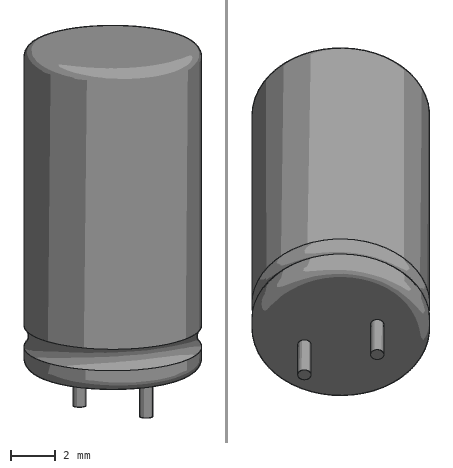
import cadquery as cq

can_diameter = 8.0
can_height = 15.0
rim_radius = 0.5

groove_bottom = 1.0
groove_top = 2.0
groove_depth = 0.2

lead_diameter = 0.6
lead_spacing = 3.5
lead_length = 2.0


def make_can():
    """Revolve the half section of the can, with rounded rims and a crimp groove."""
    radius = can_diameter / 2
    groove_middle = (groove_bottom + groove_top) / 2
    half_section = (
        cq.Workplane("XZ")
        .lineTo(radius - rim_radius, 0)
        .radiusArc((radius, rim_radius), -rim_radius)
        .lineTo(radius, groove_bottom)
        .threePointArc((radius - groove_depth, groove_middle), (radius, groove_top))
        .lineTo(radius, can_height - rim_radius)
        .radiusArc((radius - rim_radius, can_height), -rim_radius)
        .lineTo(0, can_height)
        .close()
    )
    return half_section.revolve(360, (0, 0, 0), (0, 1, 0))


def make_leads():
    """Two round leads hanging from the flat base, side by side along X."""
    return (
        cq.Workplane("XY")
        .pushPoints([(-lead_spacing / 2, 0), (lead_spacing / 2, 0)])
        .circle(lead_diameter / 2)
        .extrude(-lead_length)
    )


result = make_can().union(make_leads())